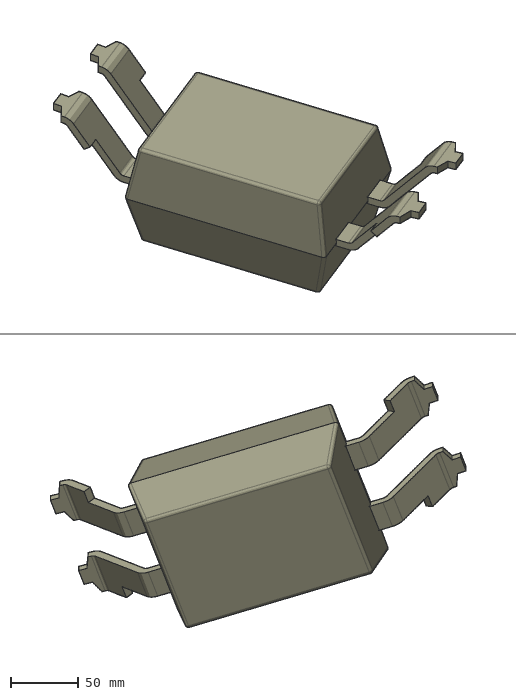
import cadquery as cq
import math

HOUSING_LENGTH = 164.8
HOUSING_WIDTH = 117.0
HALF_HEIGHT = 44.5
UPPER_DRAFT = 10.0
LOWER_DRAFT = 12.0
CORNER_RADIUS = 2.7

LEAD_SPAN = 299.7
LEAD_THICKNESS = 6.3
LEAD_TOP = LEAD_THICKNESS / 2
BEND_RADIUS = 4.2
LOWER_BEND_X = 94.0
UPPER_BEND_X = 131.5
ARM_ANGLE = 52.0
TOE_Z = 52.5
STEP_X = 115.0

LEAD_INNER_Y = 16.5
LEAD_OUTER_Y = 38.5
PADDLE_OUTER_Y = 48.3
TIP_INNER_Y = 25.8
TIP_OUTER_Y = LEAD_OUTER_Y
PADDLE_END_X = 139.0
TIP_START_X = 143.3


def arm_height(x):
    """Height of the sloping arm's top surface at x."""
    return LEAD_TOP + (x - LOWER_BEND_X) * math.tan(math.radians(ARM_ANGLE))


def housing_half(height, draft):
    """Drafted block on the parting plane with rounded corners and a rounded end face."""
    block = (
        cq.Workplane("XY")
        .rect(HOUSING_LENGTH, HOUSING_WIDTH)
        .extrude(height, taper=draft)
    )
    end_face = ">Z" if height > 0 else "<Z"
    corners = block.edges("not #Z")
    return corners.add(block.faces(end_face).edges()).fillet(CORNER_RADIUS)


def slope_angle(start, end):
    """Angle of an XZ segment above the horizontal, in radians."""
    return math.atan2(end[1] - start[1], end[0] - start[0])


def offset_below(points, distance):
    """Points of an XZ polyline moved square to it, downward, with mitred corners."""
    angles = [slope_angle(start, end) for start, end in zip(points, points[1:])]
    angles_before = angles[:1] + angles
    angles_after = angles + angles[-1:]
    moved = []
    for (x, z), before, after in zip(points, angles_before, angles_after):
        middle = (before + after) / 2
        reach = distance / math.cos((after - before) / 2)
        moved.append((x + reach * math.sin(middle), z - reach * math.cos(middle)))
    return moved


def bent_strip(top_points, inner_y, outer_y):
    """Strip of lead thickness below a polyline, with every bend rounded inside and out."""
    bottom_points = offset_below(top_points, LEAD_THICKNESS)
    strip = (
        cq.Workplane("XZ", origin=(0, outer_y, 0))
        .polyline(top_points + bottom_points[::-1])
        .close()
        .extrude(outer_y - inner_y)
    )
    middle_y = (inner_y + outer_y) / 2
    outside_radius = BEND_RADIUS + LEAD_THICKNESS
    bends = zip(top_points, top_points[1:], top_points[2:], bottom_points[1:])
    for previous, top, following, bottom in bends:
        bends_up = slope_angle(top, following) > slope_angle(previous, top)
        top_radius = BEND_RADIUS if bends_up else outside_radius
        bottom_radius = outside_radius if bends_up else BEND_RADIUS
        for (x, z), radius in ((top, top_radius), (bottom, bottom_radius)):
            edge = cq.selectors.NearestToPointSelector((x, middle_y, z))
            strip = strip.edges("|Y").edges(edge).fillet(radius)
    return strip


def lead_half():
    """The +X half of the +Y lead."""
    tip_x = LEAD_SPAN / 2
    lower_bend = (LOWER_BEND_X, LEAD_TOP)
    step = (STEP_X, arm_height(STEP_X))
    upper_bend = (UPPER_BEND_X, arm_height(UPPER_BEND_X))
    toe = (tip_x, TOE_Z)
    narrow = bent_strip([(0, LEAD_TOP), lower_bend, upper_bend, toe], LEAD_INNER_Y, LEAD_OUTER_Y)
    paddle = bent_strip([step, upper_bend, toe], LEAD_INNER_Y, PADDLE_OUTER_Y)
    outline = (
        cq.Workplane("XY", origin=(0, 0, -TOE_Z))
        .polyline([
            (0, LEAD_INNER_Y),
            (PADDLE_END_X, LEAD_INNER_Y),
            (TIP_START_X, TIP_INNER_Y),
            (tip_x, TIP_INNER_Y),
            (tip_x, TIP_OUTER_Y),
            (TIP_START_X, TIP_OUTER_Y),
            (PADDLE_END_X, PADDLE_OUTER_Y),
            (0, PADDLE_OUTER_Y),
        ])
        .close()
        .extrude(2 * TOE_Z)
    )
    return narrow.union(paddle).intersect(outline)


def lead(side):
    """One whole lead, on the +Y side (side = 1) or the -Y side (side = -1)."""
    half = lead_half()
    whole = half.union(half.mirror("YZ"))
    return whole if side > 0 else whole.mirror("XZ")


leads = [lead(side) for side in (1, -1)]

housing = housing_half(HALF_HEIGHT, UPPER_DRAFT).union(housing_half(-HALF_HEIGHT, LOWER_DRAFT))
for strip in leads:
    housing = housing.cut(strip)

result = cq.Compound.makeCompound([housing.val(), *[strip.val() for strip in leads]])